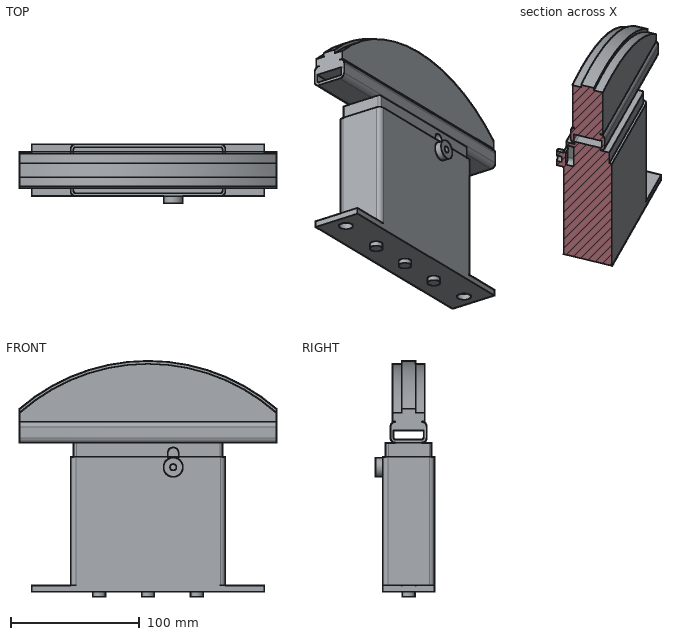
import cadquery as cq
import math


plate_length = 181.0
depth = 40.5
plate_thickness = 5.0
mount_hole_diameter = 11.0
mount_hole_x = 78.0

pin_diameter = 10.0
pin_length = 3.8
pin_spacing = 38.0

housing_length = 120.5
housing_height = 100.0
housing_corner_radius = 4.0
housing_wall = 2.2
housing_top = plate_thickness + housing_height
slider_corner_radius = 2.0
slider_rise = 11.0
slider_top = housing_top + slider_rise

clamp_x = 19.5
slot_width = 8.5
slot_top = 112.5
slot_depth = 6.0
knob_diameter = 15.0
knob_projection = 5.5
knob_z = 97.0
socket_diameter = 5.0
socket_depth = 4.0

overall_length = 200.0
channel_width = 28.5
channel_height = 16.5
channel_wall = 2.5
channel_outer_radius = 4.0
channel_inner_radius = channel_outer_radius - channel_wall
lip_opening = 13.5
channel_top = slider_top + channel_height

shoe_width = 25.5
ridge_width = 10.8
ridge_radius = 152.5
ridge_step = 2.5
shoe_top = 179.8
shoe_foot_height = 4.5


def centred_box(length, width, bottom, top):
    """Block centred on X and Y between two heights."""
    block = cq.Workplane("XY").box(length, width, top - bottom, centered=(True, True, False))
    return block.translate((0, 0, bottom))


def front_cylinder(diameter, x, z, start_y, length):
    """Cylinder along Y, from start_y toward the front (-Y)."""
    plane = cq.Workplane("XZ", origin=(x, start_y, z))
    return plane.circle(diameter / 2).extrude(length)


def make_base():
    base = centred_box(plate_length, depth, 0, plate_thickness)
    for x in (-mount_hole_x, mount_hole_x):
        hole = cq.Workplane("XY").center(x, 0).circle(mount_hole_diameter / 2).extrude(plate_thickness)
        base = base.cut(hole)
    for x in (-pin_spacing, 0, pin_spacing):
        pin = cq.Workplane("XY").center(x, 0).circle(pin_diameter / 2).extrude(-pin_length)
        base = base.union(pin)
    return base


def make_slot():
    """Upright round-ended pocket, cut back from the slider front and ending behind the knob."""
    slider_front_y = housing_wall - depth / 2
    slot_bottom = knob_z - slot_width / 2
    slot_height = slot_top - slot_bottom
    middle_z = (slot_top + slot_bottom) / 2
    plane = cq.Workplane("XZ", origin=(clamp_x, slider_front_y, middle_z))
    return plane.slot2D(slot_height, slot_width, 90).extrude(-slot_depth)


def make_housing():
    """Housing with the slider on top; the slot runs down from the slider into the housing."""
    housing = centred_box(housing_length, depth, plate_thickness, housing_top)
    housing = housing.edges("|Z").fillet(housing_corner_radius)
    slider_length = housing_length - 2 * housing_wall
    slider_width = depth - 2 * housing_wall
    slider = centred_box(slider_length, slider_width, housing_top, slider_top)
    slider = slider.edges("|Z").fillet(slider_corner_radius)
    return housing.union(slider).cut(make_slot())


def make_knob():
    front_y = -depth / 2
    knob = front_cylinder(knob_diameter, clamp_x, knob_z, front_y, knob_projection)
    socket_start = front_y - knob_projection + socket_depth
    return knob.cut(front_cylinder(socket_diameter, clamp_x, knob_z, socket_start, socket_depth))


def make_channel():
    channel = centred_box(overall_length, channel_width, slider_top, channel_top)
    channel = channel.edges("|X").fillet(channel_outer_radius)
    cavity = centred_box(
        overall_length,
        channel_width - 2 * channel_wall,
        slider_top + channel_wall,
        channel_top - channel_wall,
    )
    cavity = cavity.edges("|X").fillet(channel_inner_radius)
    opening = centred_box(overall_length, lip_opening, channel_top - channel_wall, channel_top)
    return channel.cut(cavity).cut(opening)


def arched_slab(width, radius, bottom):
    """Slab with a flat bottom and an arched top, centred on Y."""
    half_length = overall_length / 2
    arc_centre_z = shoe_top - ridge_radius
    end_z = arc_centre_z + math.sqrt(radius**2 - half_length**2)
    return (
        cq.Workplane("XZ", origin=(0, width / 2, 0))
        .moveTo(-half_length, bottom)
        .lineTo(-half_length, end_z)
        .threePointArc((0, arc_centre_z + radius), (half_length, end_z))
        .lineTo(half_length, bottom)
        .close()
        .extrude(width)
    )


def make_shoe():
    """Shoe with a neck passing between the lips and a foot held beneath them."""
    foot_top = channel_top - channel_wall
    foot_bottom = foot_top - shoe_foot_height
    foot_width = channel_width - 2 * channel_wall
    shoulders = arched_slab(shoe_width, ridge_radius - ridge_step, channel_top)
    ridge = arched_slab(ridge_width, ridge_radius, channel_top)
    neck = centred_box(overall_length, lip_opening, foot_bottom, channel_top)
    foot = centred_box(overall_length, foot_width, foot_bottom, foot_top)
    return shoulders.union(ridge).union(neck).union(foot)


result = make_base()
for component in (make_housing(), make_knob(), make_channel(), make_shoe()):
    result = result.union(component)